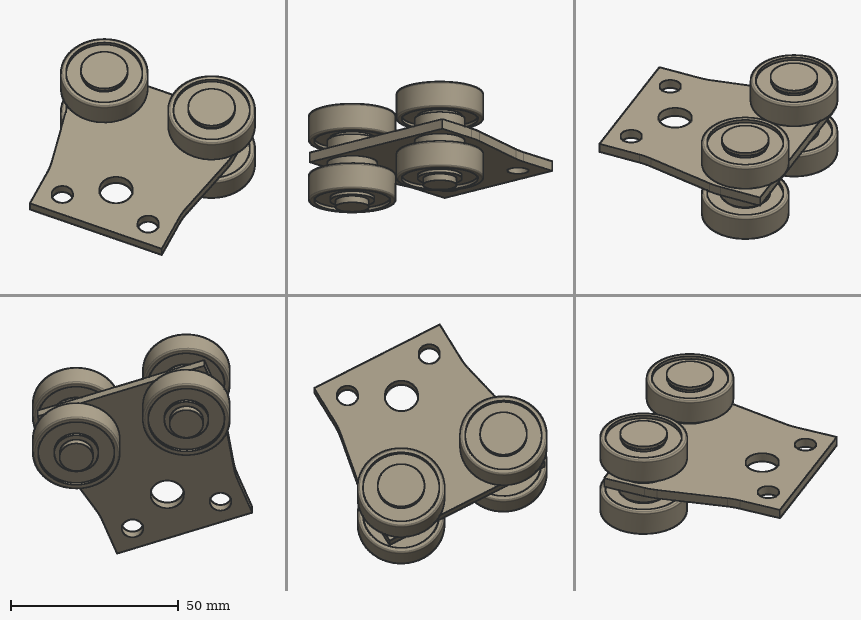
import cadquery as cq

plate_thickness = 3.0
plate_length = 55.0
narrow_width = 43.0
wide_width = 53.0
taper_start = 15.0
taper_end = 40.0
taper_blend_radius = 20.0

center_hole_diameter = 10.0
center_hole_y = 15.0
side_hole_diameter = 6.4
side_hole_spacing = 28.0
side_hole_y = 7.0

axle_spacing = 35.0
axle_y = 46.0
spacer_diameter = 15.0
spacer_length = 3.75
shaft_diameter = 10.0
shaft_end_length = 2.0
head_diameter = 14.0
head_thickness = 1.1

wheel_diameter = 26.0
wheel_width = 8.0
wheel_rim_radius = 0.5
recess_diameter = 22.8
recess_depth = 1.0
hub_diameter = 13.2

plate_top = plate_thickness / 2
upper_wheel_bottom = plate_top + spacer_length
upper_wheel_top = upper_wheel_bottom + wheel_width
lower_wheel_bottom = -upper_wheel_top
axle_top = upper_wheel_top + head_thickness
axle_bottom = lower_wheel_bottom - shaft_end_length


def cylinder(diameter, z_bottom, z_top):
    """Solid cylinder on the Z axis between two heights."""
    return cq.Workplane("XY").workplane(offset=z_bottom).circle(diameter / 2).extrude(z_top - z_bottom)


def make_plate():
    """Tapered plate with blended side corners and three through holes."""
    half_narrow = narrow_width / 2
    half_wide = wide_width / 2
    outline = [
        (-half_narrow, 0),
        (half_narrow, 0),
        (half_narrow, taper_start),
        (half_wide, taper_end),
        (half_wide, plate_length),
        (-half_wide, plate_length),
        (-half_wide, taper_end),
        (-half_narrow, taper_start),
    ]
    plate = cq.Workplane("XY").workplane(offset=-plate_top).polyline(outline).close().extrude(plate_thickness)

    end_margin = 1.0
    side_corners = cq.selectors.BoxSelector(
        (-wide_width, end_margin, -plate_thickness),
        (wide_width, plate_length - end_margin, plate_thickness),
    )
    plate = plate.edges("|Z").edges(side_corners).fillet(taper_blend_radius)

    center_hole = cylinder(center_hole_diameter, -plate_thickness, plate_thickness)
    plate = plate.cut(center_hole.translate((0, center_hole_y, 0)))
    side_hole = cylinder(side_hole_diameter, -plate_thickness, plate_thickness)
    for side in (-1, 1):
        plate = plate.cut(side_hole.translate((side * side_hole_spacing / 2, side_hole_y, 0)))
    return plate


def make_wheel(z_bottom):
    """Wheel with rounded rims and a ring-shaped recess around the hub on both faces."""
    z_top = z_bottom + wheel_width
    wheel = cylinder(wheel_diameter, z_bottom, z_top).edges("%CIRCLE").fillet(wheel_rim_radius)
    for recess_bottom in (z_bottom, z_top - recess_depth):
        recess_top = recess_bottom + recess_depth
        recess = cylinder(recess_diameter, recess_bottom, recess_top)
        hub = cylinder(hub_diameter, recess_bottom, recess_top)
        wheel = wheel.cut(recess.cut(hub))
    return wheel


def make_wheel_set():
    """Two wheels on one headed axle, with a spacer on each side of the plate."""
    spacers = cylinder(spacer_diameter, -upper_wheel_bottom, upper_wheel_bottom)
    shaft = cylinder(shaft_diameter, axle_bottom, axle_top)
    head = cylinder(head_diameter, upper_wheel_top, axle_top)
    upper_wheel = make_wheel(upper_wheel_bottom)
    lower_wheel = make_wheel(lower_wheel_bottom)
    return spacers.union(shaft).union(head).union(upper_wheel).union(lower_wheel)


wheel_set = make_wheel_set()
result = make_plate()
for side in (-1, 1):
    result = result.union(wheel_set.translate((side * axle_spacing / 2, axle_y, 0)))